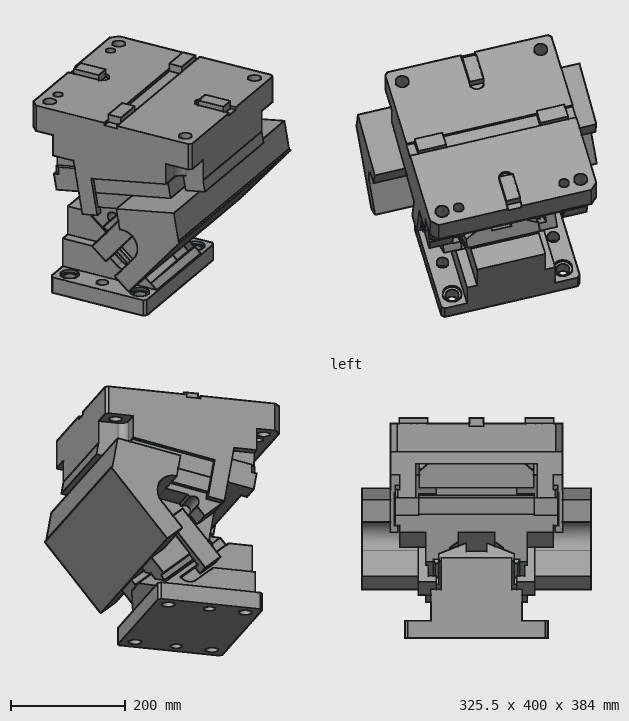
import cadquery as cq
import math


SLIDE_ANGLE = 10.0
RAMP_ANGLE = 40.0


def across_x(distance):
    return 0.0, distance


def across_z(distance):
    return 90.0, distance


def along_slide(distance):
    """Line square to the slide direction."""
    return SLIDE_ANGLE, distance


def above_slide(distance):
    """Line parallel to the slide direction."""
    return SLIDE_ANGLE + 90.0, distance


def along_ramp(distance):
    """Line square to the ramp."""
    return -RAMP_ANGLE, distance


def above_ramp(distance):
    """Line parallel to the ramp."""
    return 90.0 - RAMP_ANGLE, distance


def meet(line_1, line_2):
    """Point (X, Z) where two lines cross."""
    angle_1, distance_1 = math.radians(line_1[0]), line_1[1]
    angle_2, distance_2 = math.radians(line_2[0]), line_2[1]
    spread = math.sin(angle_2 - angle_1)
    x = (distance_1 * math.sin(angle_2) - distance_2 * math.sin(angle_1)) / spread
    z = (distance_2 * math.cos(angle_1) - distance_1 * math.cos(angle_2)) / spread
    return x, z


def on_circle(center, radius, angle):
    turn = math.radians(angle)
    return center[0] + radius * math.cos(turn), center[1] + radius * math.sin(turn)


def slab(points, half_width):
    """XZ outline spread equally to both sides of Y = 0."""
    return cq.Workplane("XZ").polyline(points).close().extrude(half_width, both=True)


def pair(points, inner, outer):
    """XZ outline as two mirrored slabs, each from inner to outer in |Y|."""
    return slab(points, outer).cut(slab(points, inner))


def corners(line_a, line_b, line_c, line_d):
    """Four-sided outline: a and b are opposite sides, c and d the other two."""
    return [meet(line_a, line_c), meet(line_b, line_c), meet(line_b, line_d), meet(line_a, line_d)]


def slide_block(start, end, bottom, top):
    return corners(along_slide(start), along_slide(end), above_slide(bottom), above_slide(top))


def ramp_block(start, end, bottom, top):
    return corners(along_ramp(start), along_ramp(end), above_ramp(bottom), above_ramp(top))


def mirrored(half_outline):
    """Closed symmetric outline from its +Y half, given from bottom to top."""
    return half_outline + [(-y, height) for y, height in reversed(half_outline)]


def ramp_bar(half_outline, start, end):
    """Symmetric (Y, height above ramp) section run along the ramp."""
    x, z = meet(along_ramp(start), above_ramp(0))
    fall = math.radians(RAMP_ANGLE)
    plane = cq.Plane(origin=(x, 0, z), xDir=(0, 1, 0), normal=(math.cos(fall), 0, -math.sin(fall)))
    return cq.Workplane(plane).polyline(mirrored(half_outline)).close().extrude(end - start)


SLIDE_FACE = 230.6
FRONT_PLANE = -23.2
FLANGE_THICK = 27.5
FLANGE_BOTTOM = SLIDE_FACE - FLANGE_THICK
FLANGE_HALF = 142.0
HOOK_THICK = 12.0
HOOK_BOTTOM = FLANGE_BOTTOM - HOOK_THICK

RIDGE_HALF = 20.0
RIDGE_HEIGHT = 88.5
RAIL_BOTTOM = 49.0
RAIL_FALL = 0.52


def roof(y):
    """Height of the rail roof above the ramp origin at |Y| = y."""
    return RIDGE_HEIGHT - RAIL_FALL * (y - RIDGE_HALF)


PLATE_LENGTH = 320.0
PLATE_WIDTH = 300.0
PLATE_TOP = 374.5
PLATE_THICK = 50.0
PLATE_BOTTOM = PLATE_TOP - PLATE_THICK
PLATE_FRONT_CHAMFER = 12.0
PLATE_REAR_CHAMFER = 5.0

BOLT_X = 135.0
BOLT_Y = 125.0
BOLT_DIA = 23.0
DOWEL_Y = 95.0
DOWEL_DIA = 17.0

KEY_WIDTH = 25.0
KEY_LENGTH = 50.0
KEY_TOP = 384.0
KEYWAY_BOTTOM = PLATE_TOP - 5.0
SIDE_KEY_OFFSET = 110.0
END_KEY_OFFSET = 124.0

BLOCK_FRONT = -115.0
BLOCK_REAR = 110.0
LAYER_THICK = 30.5
LAYER_TOP = SLIDE_FACE + LAYER_THICK
LAYER_FRONT = FRONT_PLANE - 50.0
LAYER_REAR = 157.5

LEG_REAR = FRONT_PLANE + 30.0
LEG_INNER = 143.0
HOOK_INNER = 137.0

LEDGE_TOP = LAYER_TOP + 13.5
NOTCH_TOP = 284.7
NOTCH_HALF = 134.0
LEDGE_CHAMFER_X = 7.0
LEDGE_CHAMFER_Y = 5.0

TUNNEL_HALF = 105.5
TUNNEL_TOP = 304.0
TUNNEL_CHAMFER = 5.9
NOSE_HALF = 100.3
NOSE_FRONT = LAYER_FRONT + 11.0
NOSE_STEP = NOSE_FRONT + 28.5
NOSE_DROP = 2.0
PIER_HALF = 70.0
CROSSBAR_HALF = 99.5
CROSSBAR_BOTTOM = LAYER_TOP + 11.4
CROSSBAR_FRONT = NOSE_STEP - 3.0
CROSSBAR_CHAMFER = 15.0

REAR_HALF = 106.0
REAR_BOTTOM = 284.5
REAR_FILLET = 15.0
LUG_FRONT = 168.0
LUG_REAR = 206.8
LUG_TOP = 265.0


def plate():
    body = cq.Workplane("XY").box(PLATE_LENGTH, PLATE_WIDTH, PLATE_THICK)
    body = body.translate((0, 0, PLATE_TOP - PLATE_THICK / 2))
    body = body.edges("|Z and <X").chamfer(PLATE_FRONT_CHAMFER)
    return body.edges("|Z and >X").chamfer(PLATE_REAR_CHAMFER)


def keyways():
    top = cq.Workplane("XY").workplane(offset=KEYWAY_BOTTOM)
    depth = PLATE_TOP - KEYWAY_BOTTOM
    ways = top.rect(KEY_WIDTH, PLATE_WIDTH).extrude(depth)
    round_center = END_KEY_OFFSET - KEY_LENGTH / 2
    for side in (-1, 1):
        straight_middle = side * (round_center + PLATE_LENGTH / 2) / 2
        straight = top.center(straight_middle, 0).rect(PLATE_LENGTH / 2 - round_center, KEY_WIDTH)
        ways = ways.union(straight.extrude(depth))
        ways = ways.union(top.center(side * round_center, 0).circle(KEY_WIDTH / 2).extrude(depth))
    return ways


def keys():
    top = cq.Workplane("XY").workplane(offset=KEYWAY_BOTTOM)
    height = KEY_TOP - KEYWAY_BOTTOM
    side_places = [(0, -SIDE_KEY_OFFSET), (0, SIDE_KEY_OFFSET)]
    end_places = [(-END_KEY_OFFSET, 0), (END_KEY_OFFSET, 0)]
    side_keys = top.pushPoints(side_places).rect(KEY_WIDTH, KEY_LENGTH).extrude(height)
    return side_keys.union(top.pushPoints(end_places).rect(KEY_LENGTH, KEY_WIDTH).extrude(height))


def plate_holes():
    start = cq.Workplane("XY").workplane(offset=PLATE_BOTTOM)
    bolts = start.rect(2 * BOLT_X, 2 * BOLT_Y, forConstruction=True).vertices()
    dowels = start.pushPoints([(-BOLT_X, -DOWEL_Y), (-BOLT_X, DOWEL_Y)])
    return bolts.circle(BOLT_DIA / 2).extrude(PLATE_THICK).union(
        dowels.circle(DOWEL_DIA / 2).extrude(PLATE_THICK))


def holder_block():
    """Block under the plate with its front corners cut back beside the retainer legs."""
    outline = corners(
        across_x(BLOCK_FRONT), across_x(BLOCK_REAR), above_slide(LAYER_TOP), across_z(PLATE_BOTTOM))
    block = slab(outline, PLATE_WIDTH / 2)
    lower_notch = [
        meet(along_slide(LAYER_FRONT), above_slide(SLIDE_FACE)),
        meet(along_slide(FRONT_PLANE), above_slide(SLIDE_FACE)),
        meet(along_slide(FRONT_PLANE), across_z(NOTCH_TOP)),
        meet(along_slide(LAYER_FRONT), across_z(NOTCH_TOP)),
    ]
    upper_notch = corners(
        along_slide(LAYER_FRONT), along_slide(FRONT_PLANE), above_slide(LEDGE_TOP), across_z(NOTCH_TOP))
    block = block.cut(pair(lower_notch, FLANGE_HALF, PLATE_WIDTH / 2))
    block = block.cut(pair(upper_notch, NOTCH_HALF, PLATE_WIDTH / 2))
    for side in (-1, 1):
        corner = [
            (BLOCK_FRONT, side * (FLANGE_HALF - LEDGE_CHAMFER_Y)),
            (BLOCK_FRONT + LEDGE_CHAMFER_X, side * FLANGE_HALF),
            (BLOCK_FRONT, side * FLANGE_HALF),
        ]
        block = block.cut(cq.Workplane("XY").polyline(corner).close().extrude(NOTCH_TOP))
    return block


def crossbar_corner(side):
    """Wedge that bevels the crossbar's upper front corner on one side."""
    x, z = meet(along_slide(CROSSBAR_FRONT), across_z(TUNNEL_TOP))
    plane = cq.Plane(origin=(x, side * CROSSBAR_HALF, z), xDir=(1, 0, 0), normal=(0, side, -1))
    reach = CROSSBAR_CHAMFER / math.sqrt(2)
    wedge = [
        (-CROSSBAR_CHAMFER, 0),
        (CROSSBAR_CHAMFER, 0),
        (-CROSSBAR_CHAMFER, 2 * side * reach),
    ]
    return cq.Workplane(plane).polyline(wedge).close().extrude(2 * CROSSBAR_CHAMFER, both=True)


def tunnel():
    """Opening through the block's front, around the crossbar and the pier below it."""
    opening = corners(
        across_x(BLOCK_FRONT), across_x(BLOCK_REAR), above_slide(LAYER_TOP), across_z(TUNNEL_TOP))
    crossbar_outline = corners(
        along_slide(CROSSBAR_FRONT), along_slide(LAYER_REAR),
        above_slide(CROSSBAR_BOTTOM), across_z(TUNNEL_TOP))
    crossbar = slab(crossbar_outline, CROSSBAR_HALF)
    for side in (-1, 1):
        crossbar = crossbar.cut(crossbar_corner(side))
    pier = slab(slide_block(NOSE_STEP, LAYER_REAR, LAYER_TOP, CROSSBAR_BOTTOM), PIER_HALF)
    space = slab(opening, TUNNEL_HALF).edges("|Z and >X").chamfer(TUNNEL_CHAMFER)
    return space.cut(crossbar).cut(pier)


def bearing_layer():
    layer = slab(slide_block(LAYER_FRONT, LAYER_REAR, SLIDE_FACE, LAYER_TOP), FLANGE_HALF)
    layer = layer.cut(slab(slide_block(LAYER_FRONT, NOSE_FRONT, SLIDE_FACE, LAYER_TOP), NOSE_HALF))
    relief = slide_block(NOSE_FRONT, NOSE_STEP, LAYER_TOP - NOSE_DROP, LAYER_TOP)
    return layer.cut(slab(relief, NOSE_HALF))


def retainers():
    """Side legs that reach down past the slider and hook under its flanges."""
    leg = slide_block(FRONT_PLANE, LEG_REAR, HOOK_BOTTOM, LEDGE_TOP)
    hook = slide_block(FRONT_PLANE, LEG_REAR, HOOK_BOTTOM, FLANGE_BOTTOM)
    return pair(leg, LEG_INNER, PLATE_WIDTH / 2).union(pair(hook, HOOK_INNER, PLATE_WIDTH / 2))


def rear_stop():
    """Rear block blended into the main block, with a lug standing over the slider."""
    rear = PLATE_LENGTH / 2
    edge = REAR_HALF + REAR_FILLET
    height = PLATE_BOTTOM - REAR_BOTTOM
    base = cq.Workplane("XY").workplane(offset=REAR_BOTTOM)
    outline = base.moveTo(BLOCK_REAR, -edge)
    outline = outline.radiusArc((BLOCK_REAR + REAR_FILLET, -REAR_HALF), REAR_FILLET)
    outline = outline.lineTo(rear, -REAR_HALF).lineTo(rear, REAR_HALF)
    outline = outline.lineTo(BLOCK_REAR + REAR_FILLET, REAR_HALF)
    outline = outline.radiusArc((BLOCK_REAR, edge), REAR_FILLET)
    lug = slab(slide_block(LUG_FRONT, LUG_REAR, SLIDE_FACE, LUG_TOP), REAR_HALF)
    return outline.close().extrude(height).union(lug)


def make_holder():
    body = plate().union(holder_block().cut(tunnel()))
    body = body.union(bearing_layer()).union(retainers()).union(rear_stop())
    return body.cut(keyways()).cut(plate_holes()).union(keys())


SLIDER_HALF = 200.0
SLIDER_REAR = 196.5
BACK_PLANE = -5.8
TIP_HEIGHT = 264.32
UNDERSIDE = 105.5
POCKET_FRONT = -121.0
POCKET_REAR = -41.8
POCKET_RADIUS = 30.0
RELIEF_RADIUS = 10.0
NECK_HALF = 134.0

CORE_HALF = 88.6
CORE_TOP_HALF = 84.0
CORE_STEP = 127.0
CORE_BOTTOM = 71.5
CORE_REAR = -12.3

LIP_FRONT = -128.0
LIP_TOP_HALF = 75.0
LIP_HALF = 72.0
CAVITY_HALF = 47.0
CAVITY_SHOULDER = 87.4
CHANNEL_HALF = 32.0
CHANNEL_SHOULDER = 94.5

CLAW_FRONT = -111.6
CLAW_REAR = CLAW_FRONT + 36.0
CLAW_BOTTOM = 34.2
CLAW_TOP = 141.8
CLAW_OUTER = 102.0
CLAW_INNER = 84.5
TOE_TOP = 48.0
TOE_INNER = 70.0


def wing_body():
    """Full-width rear body, hollowed by the round-topped pocket."""
    center = meet(along_ramp(POCKET_REAR - POCKET_RADIUS), above_slide(HOOK_BOTTOM - POCKET_RADIUS))
    arc_end_angle = SLIDE_ANGLE + 90
    arc_middle_angle = (arc_end_angle - RAMP_ANGLE) / 2
    arc_end = on_circle(center, POCKET_RADIUS, arc_end_angle)
    slide = math.radians(SLIDE_ANGLE)
    wing_front = center[0] * math.cos(slide) + center[1] * math.sin(slide)
    outline = cq.Workplane("XZ").polyline([
        arc_end,
        meet(along_slide(wing_front), above_slide(SLIDE_FACE)),
        meet(along_slide(SLIDER_REAR), above_slide(SLIDE_FACE)),
        meet(along_slide(SLIDER_REAR), above_ramp(TIP_HEIGHT)),
        meet(along_ramp(BACK_PLANE), above_ramp(TIP_HEIGHT)),
        meet(along_ramp(BACK_PLANE), above_ramp(UNDERSIDE)),
        meet(along_ramp(POCKET_REAR), above_ramp(UNDERSIDE)),
        on_circle(center, POCKET_RADIUS, -RAMP_ANGLE),
    ])
    outline = outline.threePointArc(on_circle(center, POCKET_RADIUS, arc_middle_angle), arc_end)
    return outline.close().extrude(SLIDER_HALF, both=True)


def flange():
    """Guide flange under the holder, with the neck and its pointed front below."""
    overlap_end = SLIDER_REAR / 2
    body = slab(slide_block(FRONT_PLANE, overlap_end, FLANGE_BOTTOM, SLIDE_FACE), FLANGE_HALF)
    neck = slab([
        meet(along_slide(FRONT_PLANE), above_slide(SLIDE_FACE)),
        meet(along_slide(FRONT_PLANE), above_ramp(UNDERSIDE)),
        meet(along_ramp(POCKET_FRONT), above_ramp(UNDERSIDE)),
        meet(along_ramp(POCKET_FRONT), above_slide(HOOK_BOTTOM)),
        meet(along_slide(overlap_end), above_slide(HOOK_BOTTOM)),
        meet(along_slide(overlap_end), above_slide(SLIDE_FACE)),
    ], NECK_HALF)
    x, z = meet(along_ramp(POCKET_FRONT), above_slide(HOOK_BOTTOM - RELIEF_RADIUS))
    relief = cq.Workplane("XZ").center(x, z).circle(RELIEF_RADIUS).extrude(NECK_HALF, both=True)
    return body.union(neck.cut(relief))


def core():
    """Middle body between flange, wings and rail, with a V lip along each side of the rail."""
    wing_middle = (POCKET_REAR + BACK_PLANE) / 2
    upper = slab([
        meet(along_slide(FRONT_PLANE), above_slide(SLIDE_FACE)),
        meet(along_slide(FRONT_PLANE), above_ramp(CORE_STEP)),
        meet(along_ramp(wing_middle), above_ramp(CORE_STEP)),
        meet(along_ramp(wing_middle), above_slide(HOOK_BOTTOM - 2 * POCKET_RADIUS)),
        meet(along_slide(SLIDER_REAR / 2), above_slide(SLIDE_FACE)),
    ], CORE_TOP_HALF)
    lower = slab(corners(
        along_slide(FRONT_PLANE), along_ramp(CORE_REAR), above_ramp(CORE_BOTTOM), above_ramp(CORE_STEP),
    ), CORE_HALF)
    lip = ramp_bar([(LIP_HALF, roof(LIP_HALF)), (LIP_TOP_HALF, CORE_BOTTOM)], LIP_FRONT, CORE_REAR)
    return upper.union(lower).union(lip)


def rail_cavity():
    """V recess over the rail with a clear channel above the ridge."""
    section = [
        (LIP_HALF, RAIL_BOTTOM),
        (LIP_HALF, roof(LIP_HALF)),
        (CAVITY_HALF, roof(CAVITY_HALF)),
        (CAVITY_HALF, CAVITY_SHOULDER),
        (CHANNEL_HALF, CHANNEL_SHOULDER),
        (CHANNEL_HALF, UNDERSIDE),
    ]
    return ramp_bar(section, 2 * LIP_FRONT, 0)


def claws():
    """Side plates on the core whose toes reach under the rail."""
    plates = pair(ramp_block(CLAW_FRONT, CLAW_REAR, CLAW_BOTTOM, CLAW_TOP), CORE_HALF, CLAW_OUTER)
    ledge = pair(ramp_block(CLAW_FRONT, CLAW_REAR, CLAW_BOTTOM, CORE_BOTTOM), CLAW_INNER, CLAW_OUTER)
    toes = pair(ramp_block(CLAW_FRONT, CLAW_REAR, CLAW_BOTTOM, TOE_TOP), TOE_INNER, CLAW_OUTER)
    return plates.union(ledge).union(toes)


def make_slider():
    return wing_body().union(flange()).union(core()).cut(rail_cavity()).union(claws())


BASE_FRONT = -134.0
BASE_LENGTH = 190.0
BASE_HALF = 125.0
BASE_THICK = 30.5
BASE_CHAMFER = 5.0

BASE_BOLT_Y = 100.0
BASE_BOLT_SPACING = 140.0
BASE_BOLT_DIA = 23.0
BASE_BORE_DIA = 33.0
BASE_BORE_DEPTH = 5.0
BASE_DOWEL_DIA = 20.5
BASE_DOWEL_X = -5.0

BODY_HALF = 79.5
BODY_SHOULDER = 85.0
TOWER_HALF = 61.5
TOWER_TOP = 140.0
GROOVE_BOTTOM = 28.4
GROOVE_REAR = -37.5
GROOVE_RADIUS = RAIL_BOTTOM - GROOVE_BOTTOM

RAIL_FRONT = -151.4
RAIL_STEP = -87.6
RAIL_REAR = 5.5
RAIL_FRONT_HALF = 65.5
SLOT_HALF = 17.5
SLOT_BOTTOM = 70.0
SLOT_STRAIGHT = 30.0


def driver_base():
    middle = BASE_FRONT + BASE_LENGTH / 2
    base = cq.Workplane("XY").box(BASE_LENGTH, 2 * BASE_HALF, BASE_THICK)
    base = base.edges("|Z").chamfer(BASE_CHAMFER)
    top = base.faces(">Z").workplane()
    base = top.rect(BASE_BOLT_SPACING, 2 * BASE_BOLT_Y, forConstruction=True).vertices().cboreHole(
        BASE_BOLT_DIA, BASE_BORE_DIA, BASE_BORE_DEPTH)
    top = base.faces(">Z").workplane()
    base = top.pushPoints([(BASE_DOWEL_X, -BASE_BOLT_Y), (BASE_DOWEL_X, BASE_BOLT_Y)]).hole(BASE_DOWEL_DIA)
    return base.translate((middle, 0, BASE_THICK / 2))


def driver_body():
    """Wide lower body with the claw grooves in its sides, and a narrow tower."""
    center = meet(along_ramp(GROOVE_REAR - GROOVE_RADIUS), above_ramp(RAIL_BOTTOM))
    arc_middle_angle = -RAMP_ANGLE - 45
    groove_end = meet(along_ramp(GROOVE_REAR), above_ramp(RAIL_BOTTOM))
    outline = cq.Workplane("XZ").polyline([
        meet(across_x(BASE_FRONT), across_z(0)),
        meet(across_x(BASE_FRONT), across_z(BODY_SHOULDER)),
        meet(above_ramp(GROOVE_BOTTOM), across_z(BODY_SHOULDER)),
        on_circle(center, GROOVE_RADIUS, -RAMP_ANGLE - 90),
    ])
    outline = outline.threePointArc(on_circle(center, GROOVE_RADIUS, arc_middle_angle), groove_end)
    shoulder = above_ramp(roof(BODY_HALF))
    foot = meet(shoulder, across_z(BASE_THICK))
    outline = outline.lineTo(*meet(along_ramp(GROOVE_REAR), shoulder))
    outline = outline.lineTo(*foot).lineTo(foot[0], 0)
    lower = outline.close().extrude(BODY_HALF, both=True)
    tower = slab([
        meet(across_x(BASE_FRONT), across_z(0)),
        meet(across_x(BASE_FRONT), across_z(TOWER_TOP)),
        meet(above_ramp(RAIL_BOTTOM), across_z(TOWER_TOP)),
        meet(above_ramp(RAIL_BOTTOM), across_z(BASE_THICK)),
        meet(across_x(0), across_z(0)),
    ], TOWER_HALF)
    return lower.union(tower)


def rail():
    """Roof-shaped rail on the ramp, slotted at its upper end."""
    def section(half_width):
        return [(half_width, RAIL_BOTTOM), (half_width, roof(half_width)), (RIDGE_HALF, RIDGE_HEIGHT)]

    body = ramp_bar(section(BODY_HALF), RAIL_STEP, RAIL_REAR)
    body = body.union(ramp_bar(section(RAIL_FRONT_HALF), RAIL_FRONT, RAIL_STEP))
    slot_end = RAIL_FRONT + SLOT_STRAIGHT
    straight = slab(ramp_block(RAIL_FRONT, slot_end, SLOT_BOTTOM, RIDGE_HEIGHT), SLOT_HALF)
    x, z = meet(along_ramp(slot_end), above_ramp(SLOT_BOTTOM))
    fall = math.radians(RAMP_ANGLE)
    floor = cq.Plane(origin=(x, 0, z), xDir=(0, 1, 0), normal=(math.sin(fall), 0, math.cos(fall)))
    round_end = cq.Workplane(floor).circle(SLOT_HALF).extrude(RIDGE_HEIGHT - SLOT_BOTTOM)
    return body.cut(straight).cut(round_end)


def make_driver():
    return driver_base().union(driver_body()).union(rail())


holder = make_holder()
slider = make_slider()
driver = make_driver()

result = cq.Compound.makeCompound([*holder.vals(), *slider.vals(), *driver.vals()])